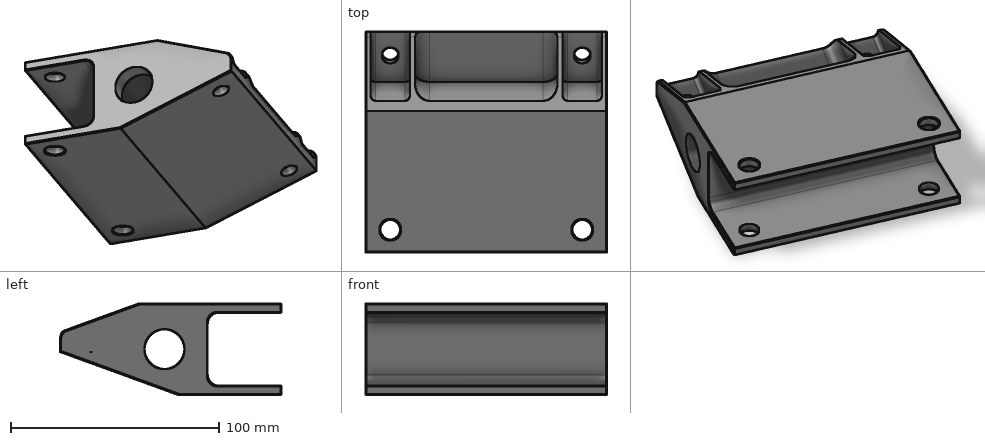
import cadquery as cq
import math

width = 116.0
length = 106.0
height = 44.0
mid_height = height / 2

slope_angle = 20.0
slope = math.tan(math.radians(slope_angle))
top_knee_y = 68.0
bottom_knee_y = 49.2
nose_radius = 4.0
edge_chamfer = 0.5

arm_thickness = 4.5
slot_depth = 35.3
slot_radius = 5.0

bore_y = 56.0
bore_diameter = 19.0
chamber_diameter = 30.0
land_length = 9.0

hole_inset = 12.0
arm_hole_y = 11.0
arm_hole_diameter = 9.5
arm_hole_chamfer = 0.5
nose_hole_diameter = 8.0

floor_thickness = 5.0
pocket_start = 36.7
side_pocket_width = 19.0
side_pocket_radius = 2.5
center_pocket_width = 68.4
center_pocket_radius = 7.0
nose_hole_distance = 50.1
cut_reach = 69.6

hole_xs = (-width / 2 + hole_inset, width / 2 - hole_inset)


def make_body():
    """Forked wedge profile extruded across the width, with broken outer edges."""
    nose_bottom_z = (length - bottom_knee_y) * slope
    nose_top_z = height - (length - top_knee_y) * slope
    body = (
        cq.Workplane("YZ")
        .polyline([
            (0, 0),
            (bottom_knee_y, 0),
            (length, nose_bottom_z),
            (length, nose_top_z),
            (top_knee_y, height),
            (0, height),
            (0, height - arm_thickness),
            (slot_depth, height - arm_thickness),
            (slot_depth, arm_thickness),
            (0, arm_thickness),
        ])
        .close()
        .extrude(width / 2, both=True)
    )
    nose_edge = cq.selectors.NearestToPointSelector((0, length, nose_top_z))
    body = body.edges(nose_edge).fillet(nose_radius)
    for z in (arm_thickness, height - arm_thickness):
        slot_corner = cq.selectors.NearestToPointSelector((0, slot_depth, z))
        body = body.edges(slot_corner).fillet(slot_radius)
    side_edges = body.faces("<X or >X").edges()
    arm_end_edges = body.faces("<Y").edges("|X")
    return side_edges.add(arm_end_edges).chamfer(edge_chamfer)


def x_cylinder(diameter, cylinder_length):
    """Cylinder along X on the cross bore axis, centered on the width."""
    return (
        cq.Workplane("YZ")
        .center(bore_y, mid_height)
        .circle(diameter / 2)
        .extrude(cylinder_length / 2, both=True)
    )


def arm_hole(x):
    """Hole through both arms, chamfered at the outer faces."""
    radius = arm_hole_diameter / 2
    mouth_radius = radius + arm_hole_chamfer
    return (
        cq.Workplane("XZ")
        .polyline([
            (0, 0),
            (mouth_radius, 0),
            (radius, arm_hole_chamfer),
            (radius, height - arm_hole_chamfer),
            (mouth_radius, height),
            (0, height),
        ])
        .close()
        .revolve(360, (0, 0), (0, 1))
        .translate((x, arm_hole_y, 0))
    )


def tilt(shape):
    """Move a shape from the slope frame (origin at the bottom knee) onto the part."""
    tilted = shape.rotate((0, 0, 0), (1, 0, 0), slope_angle)
    return tilted.translate((0, bottom_knee_y, 0))


def nose_pocket(x, pocket_width, radius):
    """Pocket open at the nose and top, rounded along its floor and its wall corners."""
    block = (
        cq.Workplane("XY")
        .box(pocket_width, cut_reach, cut_reach, centered=(True, False, False))
        .translate((x, pocket_start, floor_thickness))
    )
    rounded_floor = block.edges("|Y and <Z").fillet(radius)
    rounded_wall = block.edges("|Z and <Y").fillet(radius)
    return tilt(rounded_floor.intersect(rounded_wall))


def nose_hole(x):
    """Hole square to the pocket floor."""
    hole = (
        cq.Workplane("XY")
        .center(x, nose_hole_distance)
        .circle(nose_hole_diameter / 2)
        .extrude(2 * floor_thickness, both=True)
    )
    return tilt(hole)


result = make_body()
result = result.cut(x_cylinder(bore_diameter, width))
result = result.cut(x_cylinder(chamber_diameter, width - 2 * land_length))
result = result.cut(nose_pocket(0, center_pocket_width, center_pocket_radius))
for hole_x in hole_xs:
    result = result.cut(nose_pocket(hole_x, side_pocket_width, side_pocket_radius))
    result = result.cut(nose_hole(hole_x))
    result = result.cut(arm_hole(hole_x))